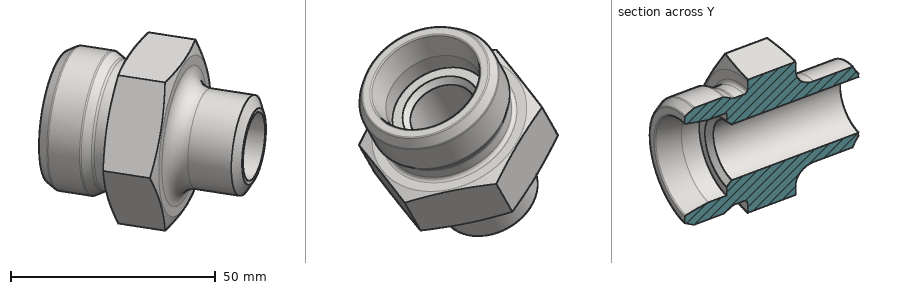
import cadquery as cq
import math


TOTAL_LENGTH = 50.0
HEX_START = 18.0
HEX_END = 32.0
COLLAR_CHAMFER_LENGTH = 2.7
COLLAR_END = 11.2

COLLAR_DIAMETER = 36.0
NECK_DIAMETER = 32.9
SPIGOT_DIAMETER = 25.0
SPIGOT_END_DIAMETER = 19.0

HEX_SIDES = 6
HEX_ACROSS_FLATS = 41.0
HEX_FACE_DIAMETER = 40.0
HEX_CHAMFER_ANGLE = 15.0

COLLAR_FLANK_ANGLE = 30.0
SPIGOT_BEVEL_ANGLE = 60.0
SOCKET_HALF_ANGLE = 12.0
BORE_LEAD_IN_ANGLE = 45.0

BORE_DIAMETER = 17.0
BORE_MOUTH_DIAMETER = 20.0
SOCKET_DIAMETER = 25.22
SOCKET_MOUTH_DIAMETER = 28.1
SOCKET_DEPTH = 12.0

FACE_EDGE_RADIUS = 0.4
COLLAR_EDGE_RADIUS = 0.8
NECK_START_RADIUS = 1.3
NECK_ROOT_RADIUS = 1.0
SPIGOT_ROOT_RADIUS = 5.0

EDGE_TOLERANCE = 0.001


def tangent(degrees):
    return math.tan(math.radians(degrees))


COLLAR_RADIUS = COLLAR_DIAMETER / 2
FACE_DIAMETER = COLLAR_DIAMETER - 2 * COLLAR_CHAMFER_LENGTH * tangent(COLLAR_FLANK_ANGLE)
NECK_START = COLLAR_END + (COLLAR_DIAMETER - NECK_DIAMETER) / 2 / tangent(COLLAR_FLANK_ANGLE)
BEVEL_LENGTH = (SPIGOT_DIAMETER - SPIGOT_END_DIAMETER) / 2 / tangent(SPIGOT_BEVEL_ANGLE)


def revolve_about_x(points):
    """Revolve a closed outline of (x, radius) points about the X axis."""
    return cq.Workplane("XY").polyline(points).close().revolve(360, (0, 0, 0), (1, 0, 0))


def circle_edges(body, diameter, x):
    """The edges of body that form the circle of this diameter centred at x on the axis."""

    def on_circle(edge):
        start = edge.startPoint()
        radius = math.hypot(start.y, start.z)
        on_radius = math.isclose(radius, diameter / 2, abs_tol=EDGE_TOLERANCE)
        return on_radius and math.isclose(start.x, x, abs_tol=EDGE_TOLERANCE)

    return body.edges("%CIRCLE").filter(on_circle)


def make_hexagon():
    """Hexagon with flats on top and bottom and both ends coned at the corners."""
    corner_radius = HEX_ACROSS_FLATS / 2 / math.cos(math.pi / HEX_SIDES)
    width = HEX_END - HEX_START
    prism = (
        cq.Workplane("YZ")
        .workplane(offset=HEX_START)
        .polygon(HEX_SIDES, 2 * corner_radius)
        .extrude(width)
    )
    face_radius = HEX_FACE_DIAMETER / 2
    chamfer = (corner_radius - face_radius) * tangent(HEX_CHAMFER_ANGLE)
    envelope = revolve_about_x([
        (HEX_START, 0),
        (HEX_START, face_radius),
        (HEX_START + chamfer, corner_radius),
        (HEX_END - chamfer, corner_radius),
        (HEX_END, face_radius),
        (HEX_END, 0),
    ])
    return prism.intersect(envelope)


def make_collar():
    """Collar with sloped flanks and the narrower neck that joins it to the hexagon."""
    return revolve_about_x([
        (0, 0),
        (0, FACE_DIAMETER / 2),
        (COLLAR_CHAMFER_LENGTH, COLLAR_RADIUS),
        (COLLAR_END, COLLAR_RADIUS),
        (NECK_START, NECK_DIAMETER / 2),
        (HEX_START, NECK_DIAMETER / 2),
        (HEX_START, 0),
    ])


def make_spigot():
    """Plain spigot with a bevelled free end."""
    return revolve_about_x([
        (HEX_END, 0),
        (HEX_END, SPIGOT_DIAMETER / 2),
        (TOTAL_LENGTH - BEVEL_LENGTH, SPIGOT_DIAMETER / 2),
        (TOTAL_LENGTH, SPIGOT_END_DIAMETER / 2),
        (TOTAL_LENGTH, 0),
    ])


def make_bore():
    """Tapered socket, straight socket, conical lead-in and through bore."""
    taper_length = (SOCKET_MOUTH_DIAMETER - SOCKET_DIAMETER) / 2 / tangent(SOCKET_HALF_ANGLE)
    lead_in = (BORE_MOUTH_DIAMETER - BORE_DIAMETER) / 2 / tangent(BORE_LEAD_IN_ANGLE)
    return revolve_about_x([
        (0, 0),
        (0, SOCKET_MOUTH_DIAMETER / 2),
        (taper_length, SOCKET_DIAMETER / 2),
        (SOCKET_DEPTH, SOCKET_DIAMETER / 2),
        (SOCKET_DEPTH, BORE_MOUTH_DIAMETER / 2),
        (SOCKET_DEPTH + lead_in, BORE_DIAMETER / 2),
        (TOTAL_LENGTH, BORE_DIAMETER / 2),
        (TOTAL_LENGTH, 0),
    ])


def round_edges(body):
    """Round the circular edges of the collar, neck, socket mouth and spigot root."""
    roundings = [
        (SOCKET_MOUTH_DIAMETER, 0, FACE_EDGE_RADIUS),
        (FACE_DIAMETER, 0, FACE_EDGE_RADIUS),
        (COLLAR_DIAMETER, COLLAR_CHAMFER_LENGTH, COLLAR_EDGE_RADIUS),
        (COLLAR_DIAMETER, COLLAR_END, COLLAR_EDGE_RADIUS),
        (NECK_DIAMETER, NECK_START, NECK_START_RADIUS),
        (NECK_DIAMETER, HEX_START, NECK_ROOT_RADIUS),
        (SPIGOT_DIAMETER, HEX_END, SPIGOT_ROOT_RADIUS),
    ]
    for diameter, x, radius in roundings:
        body = circle_edges(body, diameter, x).fillet(radius)
    return body


outside = make_hexagon().union(make_collar()).union(make_spigot())
result = round_edges(outside.cut(make_bore()))